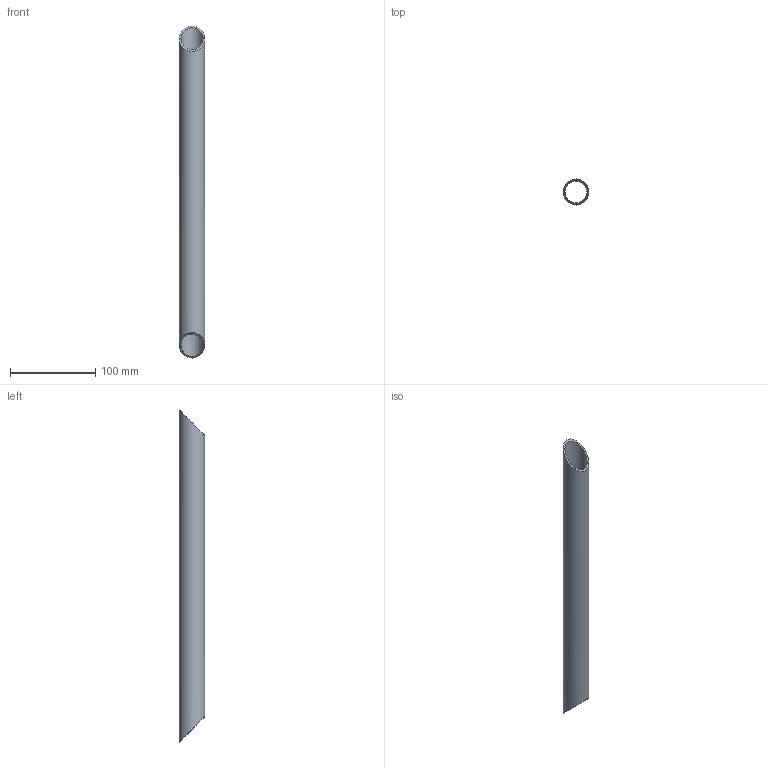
import cadquery as cq

outer_diameter = 30.0
wall_thickness = 2.0
long_side_length = 390.0

outer_radius = outer_diameter / 2
inner_radius = outer_radius - wall_thickness
half_length = long_side_length / 2
miter_drop = outer_diameter


def make_tube():
    """Square-ended tube centred on the origin."""
    return (
        cq.Workplane("XY")
        .workplane(offset=-half_length)
        .circle(outer_radius)
        .circle(inner_radius)
        .extrude(long_side_length)
    )


def make_miter_envelope():
    """Trapezoidal prism, longest on +Y, whose sloped ends form both miters."""
    short_half_length = half_length - miter_drop
    return (
        cq.Workplane("YZ")
        .polyline(
            [
                (outer_radius, -half_length),
                (outer_radius, half_length),
                (-outer_radius, short_half_length),
                (-outer_radius, -short_half_length),
            ]
        )
        .close()
        .extrude(outer_radius, both=True)
    )


result = make_tube().intersect(make_miter_envelope())